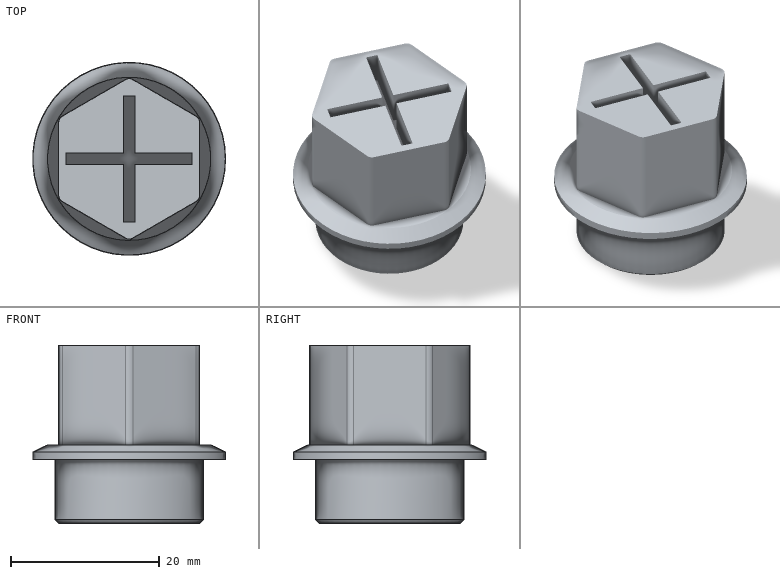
import cadquery as cq

plug_height = 8.6
rim_height = 1.0
bevel_height = 1.0
total_height = 24.0
flange_top = plug_height + rim_height + bevel_height
hex_height = total_height - flange_top

plug_diameter = 20.0
plug_chamfer = 0.5
flange_diameter = 26.0
flange_top_diameter = 22.0

hex_across_flats = 19.0
hex_corner_radius = 1.0

slot_length = 17.0
slot_width = 1.55
slot_depth = 5.0


def make_plug():
    plug = cq.Workplane("XY").circle(plug_diameter / 2).extrude(plug_height)
    return plug.faces("<Z").chamfer(plug_chamfer)


def make_flange():
    """Disc with a straight rim and a conical bevel above it."""
    rim_top = plug_height + rim_height
    return (
        cq.Workplane("XZ")
        .moveTo(0, plug_height)
        .lineTo(flange_diameter / 2, plug_height)
        .lineTo(flange_diameter / 2, rim_top)
        .lineTo(flange_top_diameter / 2, flange_top)
        .lineTo(0, flange_top)
        .close()
        .revolve(360, (0, 0), (0, 1))
    )


def make_hex_head():
    return (
        cq.Workplane("XY")
        .workplane(offset=flange_top)
        .polygon(6, hex_across_flats, circumscribed=True)
        .extrude(hex_height)
        .edges("|Z")
        .fillet(hex_corner_radius)
    )


def make_cross():
    """Two crossing bars that are cut down from the top face."""
    top = cq.Workplane("XY").workplane(offset=total_height)
    bar_x = top.rect(slot_length, slot_width).extrude(-slot_depth)
    bar_y = top.rect(slot_width, slot_length).extrude(-slot_depth)
    return bar_x.union(bar_y)


result = make_plug().union(make_flange()).union(make_hex_head()).cut(make_cross())